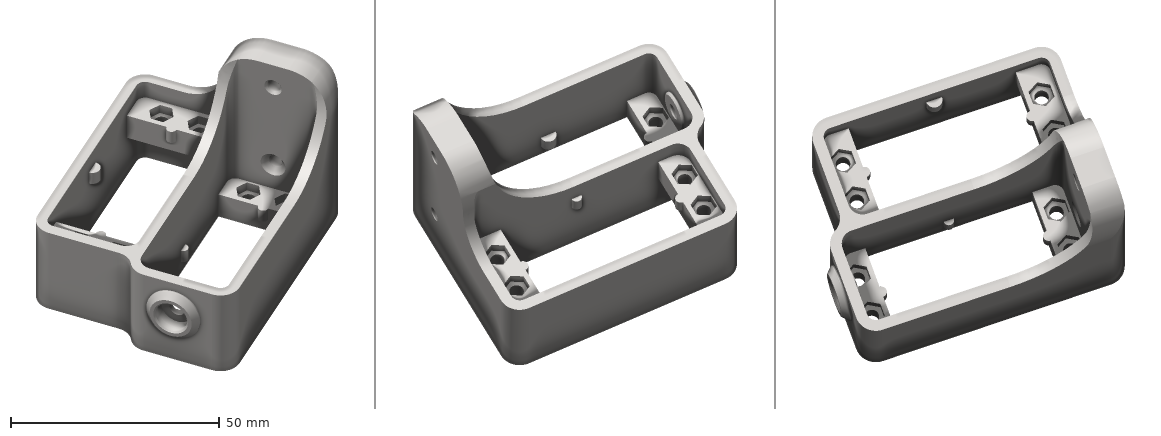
import cadquery as cq
import math


width = 55.0
base_height = 24.0
total_height = 46.0
wall = 2.75
left_length = 63.0
tray_shift = 5.0
right_length = left_length + tray_shift
front_y = -right_length
outer_radius = 5.0
inner_radius = outer_radius - wall
step_corner_radius = 3.5
step_end_x = 32.0

pocket_width = (width - 3 * wall) / 2
left_pocket_x = wall + pocket_width / 2
right_pocket_x = width - left_pocket_x
back_wall = 8.5

crest_radius = 11.0
crest_left_x = 36.0
crest_right_x = width - crest_radius
sweep_radius = total_height - base_height

servo_opening = 42.5
left_servo_y = -32.0
right_servo_y = left_servo_y - tray_shift
ledge_height = 7.0
left_ledge_top = 19.0
right_ledge_top = ledge_height
screw_spacing_x = 10.0
screw_spacing_y = 50.5
screw_inset = 0.6
screw_diameter = 3.5
nut_across_flats = 5.5
nut_across_corners = nut_across_flats / math.cos(math.pi / 6)
nut_depth = 2.5

pin_height = 3.5
small_pin_radius = 1.3
large_pin_radius = 2.0
left_small_pin_y = -31.2
left_large_pin_y = -31.5

pivot_x = (crest_left_x + crest_right_x) / 2
pivot_z = 14.5
boss_diameter = 14.0
boss_length = 2.0
boss_chamfer = 1.5
inner_boss_diameter = 9.8
inner_boss_length = 0.8
inner_boss_chamfer = 0.4
bore_diameter = 8.2
bore_depth = 4.0
bore_chamfer = 0.4
front_hole_diameter = 4.0

back_hole_diameter = 3.5
upper_hole_z = 39.0
pivot_countersink_depth = 1.5
upper_countersink_depth = 0.5


def body_outline():
    """Footprint of both trays, with an S-shaped step between their front walls."""
    arc_run = math.sqrt(outer_radius**2 - (outer_radius - tray_shift / 2) ** 2)
    step_mid_x = step_end_x - arc_run
    step_start_x = step_mid_x - arc_run
    return (
        cq.Workplane("XY")
        .moveTo(outer_radius, 0)
        .lineTo(width - outer_radius, 0)
        .radiusArc((width, -outer_radius), outer_radius)
        .lineTo(width, front_y + outer_radius)
        .radiusArc((width - outer_radius, front_y), outer_radius)
        .lineTo(step_end_x, front_y)
        .radiusArc((step_mid_x, front_y + tray_shift / 2), outer_radius)
        .radiusArc((step_start_x, -left_length), -outer_radius)
        .lineTo(outer_radius, -left_length)
        .radiusArc((0, -left_length + outer_radius), outer_radius)
        .lineTo(0, -outer_radius)
        .radiusArc((outer_radius, 0), outer_radius)
        .close()
    )


def crest_envelope():
    """Front profile: a rounded crest flowing into the low left tray."""
    shoulder_z = total_height - crest_radius
    crest_edge_x = crest_left_x - crest_radius
    return (
        cq.Workplane("XZ")
        .lineTo(width, 0)
        .lineTo(width, shoulder_z)
        .radiusArc((crest_right_x, total_height), -crest_radius)
        .lineTo(crest_left_x, total_height)
        .radiusArc((crest_edge_x, shoulder_z), -crest_radius)
        .radiusArc((crest_edge_x - crest_radius, base_height), crest_radius)
        .lineTo(0, base_height)
        .close()
        .extrude(right_length)
    )


def sweep_envelope():
    """Side profile: a concave quarter circle from the back wall down to the tray rim."""
    return (
        cq.Workplane("YZ")
        .lineTo(0, total_height)
        .lineTo(-back_wall, total_height)
        .radiusArc((-back_wall - sweep_radius, base_height), sweep_radius)
        .lineTo(front_y, base_height)
        .lineTo(front_y, 0)
        .close()
        .extrude(width)
    )


def pocket(center_x, back_y, end_y, step_corner):
    """Open tray volume; step_corner selects the vertical edge next to the front step."""
    length = back_y - end_y
    block = cq.Workplane("XY").center(center_x, (back_y + end_y) / 2).rect(pocket_width, length)
    block = block.extrude(total_height)
    block = block.edges("|Z").edges(">Y").fillet(inner_radius)
    block = block.edges("|Z").edges("<Y").edges(step_corner).fillet(step_corner_radius)
    outer_corner = "<X" if step_corner == ">X" else ">X"
    return block.edges("|Z").edges("<Y").edges(outer_corner).fillet(inner_radius)


def ledges(tray, center_x, servo_y, top_z):
    """Ledges at both ends of a tray, leaving the opening for the servo body."""
    slab = (
        cq.Workplane("XY", origin=(center_x, servo_y, top_z - ledge_height))
        .rect(pocket_width, right_length)
        .extrude(ledge_height)
    )
    opening = (
        cq.Workplane("XY", origin=(center_x, servo_y, 0))
        .rect(pocket_width, servo_opening)
        .extrude(total_height)
    )
    return tray.intersect(slab).cut(opening)


def pin(x, y, top_z, radius):
    return cq.Workplane("XY", origin=(x, y, top_z - pin_height)).circle(radius).extrude(pin_height)


def pins(center_x, servo_y, top_z, outer_side, small_pin_y, large_pin_y):
    """Half-round pins on both ledges and on both side walls of a tray."""
    half_width = outer_side * pocket_width / 2
    group = pin(center_x + half_width, large_pin_y, top_z, large_pin_radius)
    group = group.union(pin(center_x - half_width, small_pin_y, top_z, small_pin_radius))
    for end in (-1, 1):
        ledge_edge_y = servo_y + end * servo_opening / 2
        group = group.union(pin(center_x, ledge_edge_y, top_z, small_pin_radius))
    return group


def screw_holes(center_x, servo_y, top_z, outer_side):
    """Four through holes with hexagonal nut traps sunk into the ledge tops."""
    screw_x = center_x - outer_side * screw_inset

    def pattern(z):
        plane = cq.Workplane("XY", origin=(screw_x, servo_y, z))
        return plane.rarray(screw_spacing_x, screw_spacing_y, 2, 2)

    holes = pattern(top_z - ledge_height).circle(screw_diameter / 2).extrude(ledge_height)
    nuts = pattern(top_z - nut_depth).polygon(6, nut_across_corners).extrude(nut_depth)
    return holes.union(nuts)


def disc(diameter, start_y, length, z):
    """Cylinder on the pivot's X position, running from start_y towards the back."""
    plane = cq.Workplane("XZ", origin=(pivot_x, start_y, z))
    return plane.circle(diameter / 2).extrude(-length)


def countersink(hole_diameter, start_y, depth, z):
    """45 degree lead-in that narrows to hole_diameter towards the back."""
    plane = cq.Workplane("XZ", origin=(pivot_x, start_y, z))
    return plane.circle(hole_diameter / 2 + depth).extrude(-depth, taper=45)


def add_pivot_boss(body):
    """Chamfered bosses outside and inside the front wall, with a stepped bore."""
    boss_y = front_y - boss_length
    depth = boss_length + wall + inner_boss_length
    boss = disc(boss_diameter, boss_y, boss_length, pivot_z).faces("<Y").chamfer(boss_chamfer)
    inner_boss = disc(inner_boss_diameter, front_y + wall, inner_boss_length, pivot_z)
    inner_boss = inner_boss.faces(">Y").chamfer(inner_boss_chamfer)
    body = body.union(boss).union(inner_boss)
    body = body.cut(disc(bore_diameter, boss_y, bore_depth, pivot_z))
    body = body.cut(countersink(bore_diameter, boss_y, bore_chamfer, pivot_z))
    return body.cut(disc(front_hole_diameter, boss_y, depth, pivot_z))


def cut_back_holes(body):
    """Countersunk holes on the pivot axis and near the crest."""
    for z, lead_in in ((pivot_z, pivot_countersink_depth), (upper_hole_z, upper_countersink_depth)):
        body = body.cut(disc(back_hole_diameter, -back_wall, back_wall, z))
        body = body.cut(countersink(back_hole_diameter, -back_wall, lead_in, z))
    return body


left_pocket = pocket(left_pocket_x, -wall, -left_length + wall, ">X")
right_pocket = pocket(right_pocket_x, -back_wall, front_y + wall, "<X")

result = body_outline().extrude(total_height)
result = result.intersect(crest_envelope()).intersect(sweep_envelope())
result = result.cut(left_pocket).cut(right_pocket)

result = result.union(ledges(left_pocket, left_pocket_x, left_servo_y, left_ledge_top))
result = result.union(ledges(right_pocket, right_pocket_x, right_servo_y, right_ledge_top))
result = result.union(
    pins(left_pocket_x, left_servo_y, left_ledge_top, -1, left_small_pin_y, left_large_pin_y)
)
result = result.union(
    pins(right_pocket_x, right_servo_y, right_ledge_top, 1, right_servo_y, right_servo_y)
)
result = add_pivot_boss(result)
result = result.cut(screw_holes(left_pocket_x, left_servo_y, left_ledge_top, -1))
result = result.cut(screw_holes(right_pocket_x, right_servo_y, right_ledge_top, 1))
result = cut_back_holes(result)